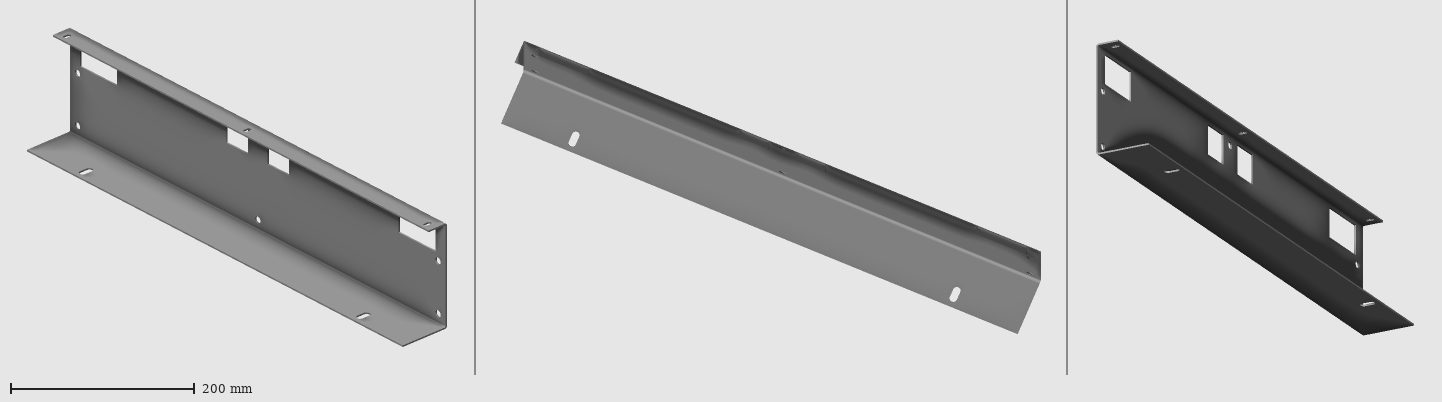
import cadquery as cq

length = 610.0
base_depth = 65.0
height = 130.0
lip_depth = 27.0
thickness = 2.0
inner_bend_radius = 1.5
outer_bend_radius = inner_bend_radius + thickness

hole_diameter = 8.5
end_hole_inset = 12.5
end_hole_x = length / 2 - end_hole_inset
low_hole_z = 13.5
side_hole_pitch = 65.0
side_hole_z = low_hole_z + side_hole_pitch
high_hole_z = height - low_hole_z

window_height = 35.0
window_bottom_z = 88.5
outer_window_width = 60.0
outer_window_inset = 16.5
outer_window_x = length / 2 - outer_window_inset - outer_window_width / 2
inner_window_width = 35.0
inner_window_gap = 32.0
inner_window_x = inner_window_gap / 2 + inner_window_width / 2

lip_slot_width = 5.0
lip_slot_length = 10.0
lip_slot_y = -17.25

base_slot_width = 8.5
base_slot_length = 18.0
base_slot_x = 225.0
base_slot_y = -50.5


def make_channel():
    """Bent sheet: deep base flange, upright web and short top lip."""
    profile = (
        cq.Workplane("YZ", origin=(-length / 2, 0, 0))
        .moveTo(-base_depth, 0)
        .lineTo(-outer_bend_radius, 0)
        .radiusArc((0, outer_bend_radius), -outer_bend_radius)
        .lineTo(0, height - outer_bend_radius)
        .radiusArc((-outer_bend_radius, height), -outer_bend_radius)
        .lineTo(-lip_depth, height)
        .lineTo(-lip_depth, height - thickness)
        .lineTo(-outer_bend_radius, height - thickness)
        .radiusArc((-thickness, height - outer_bend_radius), inner_bend_radius)
        .lineTo(-thickness, outer_bend_radius)
        .radiusArc((-outer_bend_radius, thickness), inner_bend_radius)
        .lineTo(-base_depth, thickness)
        .close()
    )
    return profile.extrude(length)


def web_plane():
    """Sketch plane on the back face of the web; extrude goes forward through the sheet."""
    return cq.Workplane("XZ")


def web_holes():
    """Holes at mid-length near both bends, and a pair near each end."""
    points = [(0, low_hole_z), (0, high_hole_z)]
    for x in (-end_hole_x, end_hole_x):
        points += [(x, low_hole_z), (x, side_hole_z)]
    return web_plane().pushPoints(points).circle(hole_diameter / 2).extrude(thickness)


def web_windows(width, offset_x):
    """A window on either side of the middle, centred offset_x from it."""
    center_z = window_bottom_z + window_height / 2
    points = [(-offset_x, center_z), (offset_x, center_z)]
    return web_plane().pushPoints(points).rect(width, window_height).extrude(thickness)


def flange_slots(points, slot_length, slot_width, bottom_z):
    """Round-ended slots along Y through a flange whose underside is at bottom_z."""
    plane = cq.Workplane("XY", origin=(0, 0, bottom_z))
    return plane.pushPoints(points).slot2D(slot_length, slot_width, 90).extrude(thickness)


lip_slot_points = [(x, lip_slot_y) for x in (-end_hole_x, 0, end_hole_x)]
base_slot_points = [(x, base_slot_y) for x in (-base_slot_x, base_slot_x)]

result = (
    make_channel()
    .cut(web_holes())
    .cut(web_windows(outer_window_width, outer_window_x))
    .cut(web_windows(inner_window_width, inner_window_x))
    .cut(flange_slots(lip_slot_points, lip_slot_length, lip_slot_width, height - thickness))
    .cut(flange_slots(base_slot_points, base_slot_length, base_slot_width, 0))
)